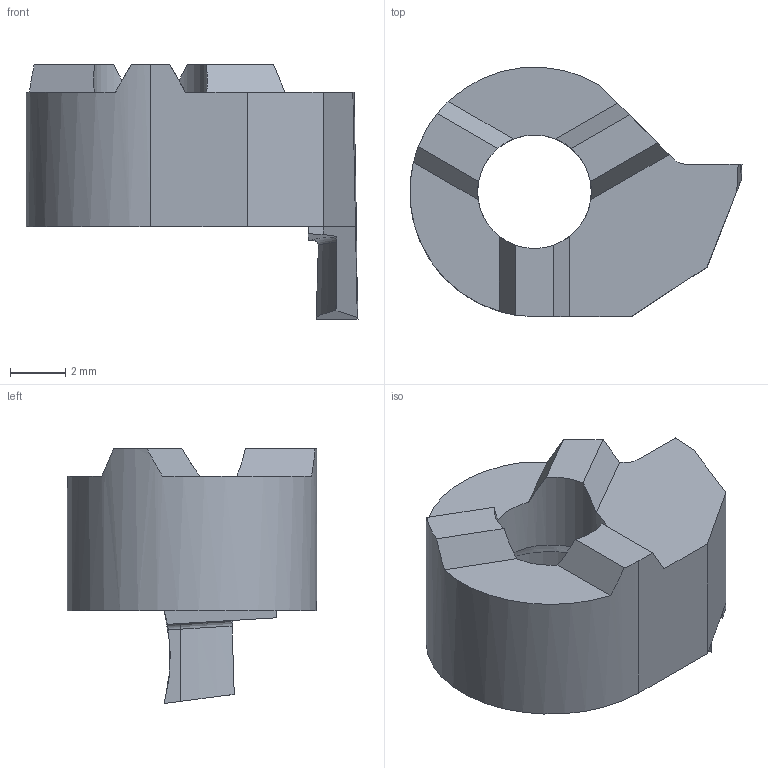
import cadquery as cq
import math

body_radius = 4.5
body_height = 4.85
bore_radius = 2.05

counterbore_radius = 3.05
counterbore_depth = 1.85
seat_height = counterbore_radius - bore_radius

nose_base_x = 3.5
nose_corner = (6.23, -2.71)
nose_side_slope = 0.393
rake_y = 1.0
relief_offset = 4.385
relief_fillet = 0.5

tooth_count = 3
tooth_height = 1.0
tooth_top_width = 1.38
tooth_flank_angle = 60
first_tooth_angle = 30

flank_top_x = 7.35
flank_tip_x = 7.49
flank_relief = 0.05

blade_depth = 3.35
tip_angle = 7.4
shoulder_depth = 0.5
shoulder_angle = 3.4
shoulder_inner_x = 5.69
chip_hollow = 0.22
inner_wall_x = 5.98
inner_wall_lean = 0.1
inner_flat_y = 0.42
inner_arc_middle = (0.27, -0.58)
inner_arc_end = (0.70, -1.52)
root_fillet = 0.2
space_overrun = 1.0

reach = 10.0


def side_prism(points):
    """Outline in the YZ plane, running the full length of the part along X."""
    return cq.Workplane("YZ").polyline(points).close().extrude(reach, both=True)


def lean_upwards(outline, bottom_z, height, shift_x):
    """Sweep a closed wire straight up from bottom_z while it drifts along X."""
    solid = cq.Solid.extrudeLinear(outline, [], cq.Vector(shift_x, 0, height))
    return cq.Workplane(obj=solid.translate(cq.Vector(0, 0, bottom_z)))


def plan_prism(bottom_z, height):
    """Plan outline shared by holder and blade, trimmed by the leaning outer flank."""
    rake_end_x = nose_corner[0] + nose_side_slope * (rake_y - nose_corner[1])
    relief_end_x = relief_offset * math.sqrt(2) - rake_y
    relief_angle = math.radians(45) + math.acos(relief_offset / body_radius)
    prism = (
        cq.Workplane("XY", origin=(0, 0, bottom_z))
        .moveTo(0, -body_radius)
        .lineTo(nose_base_x, -body_radius)
        .lineTo(*nose_corner)
        .lineTo(rake_end_x, rake_y)
        .lineTo(relief_end_x, rake_y)
        .lineTo(body_radius * math.cos(relief_angle), body_radius * math.sin(relief_angle))
        .threePointArc((-body_radius, 0), (0, -body_radius))
        .close()
        .extrude(height)
    )
    inner_corner = (relief_end_x, rake_y, bottom_z + height / 2)
    prism = prism.edges(cq.selectors.NearestToPointSelector(inner_corner)).fillet(relief_fillet)

    lean = (flank_top_x - flank_tip_x) / (body_height + blade_depth)
    bottom_x = flank_tip_x + lean * (bottom_z + blade_depth)
    inside_flank = cq.Wire.makePolygon([
        cq.Vector(bottom_x + flank_relief * (-reach - rake_y), -reach),
        cq.Vector(bottom_x + flank_relief * (reach - rake_y), reach),
        cq.Vector(-reach, reach),
        cq.Vector(-reach, -reach),
    ], close=True)
    return prism.intersect(lean_upwards(inside_flank, bottom_z, height, lean * height))


def tooth_bar(angle):
    """Trapezoidal bar on the top face, running outwards from the bore axis."""
    half_top = tooth_top_width / 2
    half_base = half_top + tooth_height / math.tan(math.radians(tooth_flank_angle))
    return (
        cq.Workplane("YZ")
        .polyline([
            (-half_base, body_height),
            (-half_top, body_height + tooth_height),
            (half_top, body_height + tooth_height),
            (half_base, body_height),
        ])
        .close()
        .extrude(reach)
        .rotate((0, 0, 0), (0, 0, 1), angle)
    )


def make_holder():
    """Holder with its clutch teeth and stepped bore."""
    top = body_height + tooth_height
    envelope = cq.Workplane("XY").rect(2 * reach, 2 * reach).extrude(body_height)
    for i in range(tooth_count):
        envelope = envelope.union(tooth_bar(first_tooth_angle + i * 360 / tooth_count))
    blank = plan_prism(0, top).intersect(envelope)

    seat_top = counterbore_depth + seat_height
    bore = (
        cq.Workplane("XZ")
        .polyline([
            (0, 0),
            (counterbore_radius, 0),
            (counterbore_radius, counterbore_depth),
            (bore_radius, seat_top),
            (bore_radius, top),
            (0, top),
        ])
        .close()
        .revolve(360, (0, 0, 0), (0, 1, 0))
    )
    return blank.cut(bore)


def inner_space():
    """Space beside the inner wall, under the sloping shoulder."""
    wall_end_y = rake_y + space_overrun
    outline = (
        cq.Workplane("XY")
        .moveTo(inner_wall_x, wall_end_y)
        .lineTo(inner_wall_x, inner_flat_y)
        .threePointArc(
            (inner_wall_x + inner_arc_middle[0], inner_arc_middle[1]),
            (inner_wall_x + inner_arc_end[0], inner_arc_end[1]),
        )
        .lineTo(reach, -body_radius)
        .lineTo(0, -body_radius)
        .lineTo(0, wall_end_y)
        .close()
        .val()
    )
    space = lean_upwards(outline, -blade_depth, blade_depth, inner_wall_lean)
    rise = math.tan(math.radians(shoulder_angle))
    under_shoulder = side_prism([
        (reach, -shoulder_depth - rise * (reach - rake_y)),
        (-reach, -shoulder_depth + rise * (reach + rake_y)),
        (-reach, -reach),
        (reach, -reach),
    ])
    space = space.intersect(under_shoulder)
    nearest = cq.selectors.NearestToPointSelector
    flat_top = space.edges(nearest((inner_wall_x, rake_y, -shoulder_depth)))
    arc_top = space.edges(nearest((inner_wall_x, inner_arc_middle[1], -shoulder_depth)))
    return flat_top.add(arc_top).fillet(root_fillet)


def make_blade():
    """Blade hanging from the underside of the nose, with a wider shoulder at its root."""
    beyond_shoulder = (
        cq.Workplane("XY", origin=(0, 0, -blade_depth))
        .moveTo(shoulder_inner_x, -reach)
        .lineTo(reach, -reach)
        .lineTo(reach, reach)
        .lineTo(shoulder_inner_x, reach)
        .close()
        .extrude(blade_depth)
    )
    blank = plan_prism(-blade_depth, blade_depth).intersect(beyond_shoulder)

    tip_rise = math.tan(math.radians(tip_angle)) * (reach + rake_y)
    below_tip = side_prism([
        (rake_y, -blade_depth),
        (-reach, -blade_depth + tip_rise),
        (-reach, -reach),
        (rake_y, -reach),
    ])
    hollow = (
        cq.Workplane("YZ")
        .moveTo(rake_y, 0)
        .threePointArc((rake_y - chip_hollow, -blade_depth / 2), (rake_y, -blade_depth))
        .close()
        .extrude(reach)
    )
    return blank.cut(inner_space()).cut(below_tip).cut(hollow)


holder = make_holder()
blade = make_blade()
result = cq.Compound.makeCompound([holder.val(), blade.val()])